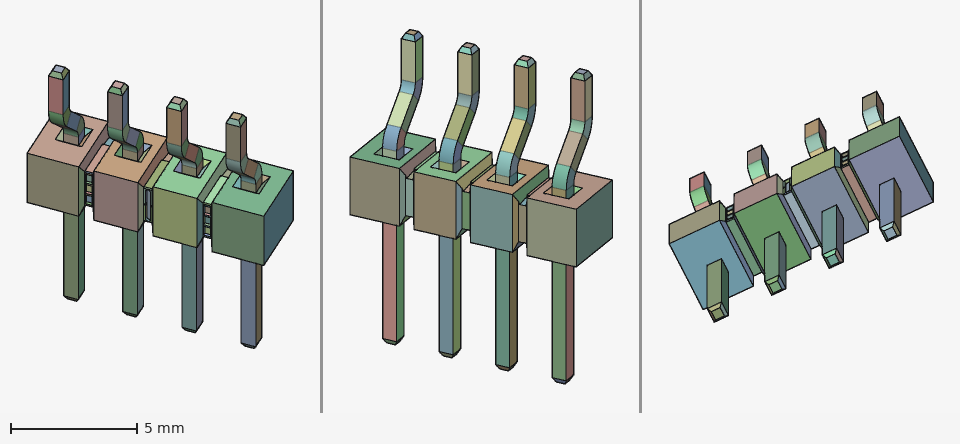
import cadquery as cq
import math

positions = 4
pitch = 2.54
overall_height = 12.95

housing_length = 10.17
housing_depth = 3.05
housing_height = 2.54
housing_back = 1.27

pin_width = 0.63
pin_below = 5.84
pin_overhang = 0.096
tip_length = 0.22
tip_inset = 0.123
bend_start = 0.21
bend_inner_radius = 0.62
bend_angle = math.radians(45)

funnel_width = 1.14

groove_width = 0.65
web_width = 0.36
web_end_inset = 0.39
web_side_inset = 0.26
web_edge_chamfer = 0.044
web_step_drop = 0.05
web_ramp_drop = 0.12

pocket_depth = 0.13
window_width = 0.28
window_height = 0.45
window_spacing = 0.53
window_count = 3
slot_width = 0.21
slot_height = 1.62
notch_height = 0.04

housing_front = housing_back - housing_depth
housing_middle_z = housing_height / 2
pin_back = pin_width / 2
pin_bottom = -pin_below
pin_top = pin_bottom + overall_height
funnel_floor = housing_height - (funnel_width - pin_width) / 2
web_top = housing_height - web_end_inset
web_front = housing_front + web_side_inset
web_back = housing_back - web_side_inset
pin_places = [(i - (positions - 1) / 2) * pitch for i in range(positions)]
groove_places = [(a + b) / 2 for a, b in zip(pin_places, pin_places[1:])]

pin_section = (pin_width, pin_width)
tip_section = (pin_width - 2 * tip_inset,) * 2


def frustum(x, y, z_low, low_section, z_high, high_section):
    """Rectangular frustum along Z; each section is its (X, Y) size."""
    return (
        cq.Workplane("XY", origin=(x, y, z_low))
        .rect(*low_section)
        .workplane(offset=z_high - z_low)
        .rect(*high_section)
        .loft(ruled=True)
    )


def mirror_to_bottom(cutter):
    """Copy of a cutter, mirrored about the middle height of the housing."""
    return cutter.mirror("XY", (0, 0, housing_middle_z))


def groove_outline(plane, origin, inset):
    """Trapezoid narrowing from the groove width to the web width, along +Y of its plane."""
    return (
        cq.Workplane(plane, origin=origin)
        .moveTo(-groove_width / 2, 0)
        .lineTo(groove_width / 2, 0)
        .lineTo(web_width / 2, inset)
        .lineTo(-web_width / 2, inset)
        .close()
    )


def cut_groove(body, x):
    """Groove all around the housing that leaves a web between two positions."""
    bottom = groove_outline("XZ", (x, housing_back, 0), web_end_inset).extrude(housing_depth)
    front = groove_outline("XY", (x, housing_front, 0), web_side_inset).extrude(housing_height)
    back = groove_outline("XY", (x, housing_back, 0), -web_side_inset).extrude(housing_height)
    return body.cut(bottom).cut(mirror_to_bottom(bottom)).cut(front).cut(back)


def lower_web_back(body, x):
    """Lower the web top behind the pins, sloping down to the back, between flanks in line with the groove."""
    profile = (
        cq.Workplane("YZ", origin=(x - web_width / 2, 0, 0))
        .moveTo(pin_back, web_top)
        .lineTo(web_back, web_top)
        .lineTo(web_back, web_top - web_ramp_drop)
        .lineTo(pin_back, web_top - web_step_drop)
        .close()
        .extrude(web_width)
    )
    flank_slope = (groove_width - web_width) / 2 / web_end_inset
    low_width = web_width - 2 * web_ramp_drop * flank_slope
    between_flanks = (
        cq.Workplane("XZ", origin=(x, web_back, 0))
        .moveTo(-web_width / 2, web_top)
        .lineTo(web_width / 2, web_top)
        .lineTo(low_width / 2, web_top - web_ramp_drop)
        .lineTo(-low_width / 2, web_top - web_ramp_drop)
        .close()
        .extrude(web_back - pin_back)
    )
    return body.cut(profile.intersect(between_flanks))


def chamfer_web(body, x):
    """Chamfer the top and bottom front edges of a web."""
    cutter = (
        cq.Workplane("YZ", origin=(x - web_width / 2, 0, 0))
        .moveTo(web_front, web_top)
        .lineTo(web_front + web_edge_chamfer, web_top)
        .lineTo(web_front, web_top - web_edge_chamfer)
        .close()
        .extrude(web_width)
    )
    return body.cut(cutter).cut(mirror_to_bottom(cutter))


def web_face(x):
    """Workplane on the front face of a web, centred in height."""
    return cq.Workplane("XZ", origin=(x, web_front, housing_middle_z))


def window_pockets(x):
    """Rectangular pockets, one above the other."""
    return (
        web_face(x)
        .rarray(0.13, window_spacing, 1, window_count)
        .rect(window_width, window_height)
        .extrude(-pocket_depth)
    )


def slot_pocket(x):
    """Tall round-ended pocket with a narrow notch across its middle."""
    slot = web_face(x).slot2D(slot_height, slot_width, 90).extrude(-pocket_depth)
    notch = web_face(x).rect(web_width, notch_height).extrude(-pocket_depth)
    return slot.union(notch)


def cut_pin_hole(body, x):
    """Square through hole that opens into a funnel at the top."""
    hole = cq.Workplane("XY", origin=(x, 0, 0)).rect(*pin_section).extrude(housing_height)
    funnel = frustum(x, 0, funnel_floor, pin_section, housing_height, (funnel_width, funnel_width))
    return body.cut(hole).cut(funnel)


def make_housing():
    body = cq.Workplane("XY", origin=(0, (housing_front + housing_back) / 2, 0))
    body = body.rect(housing_length, housing_depth).extrude(housing_height)
    for x in groove_places:
        body = cut_groove(body, x)
        body = lower_web_back(body, x)
        body = chamfer_web(body, x)
    left, middle, right = groove_places
    body = body.cut(window_pockets(left)).cut(slot_pocket(middle)).cut(window_pockets(right))
    for x in pin_places:
        body = cut_pin_hole(body, x)
    return body


def make_lower_pin(x):
    """Straight pin with a tapered tip, ending at the floor of the funnel."""
    shoulder = pin_bottom + tip_length
    shank = cq.Workplane("XY", origin=(x, 0, shoulder)).rect(*pin_section).extrude(funnel_floor - shoulder)
    return shank.union(frustum(x, 0, pin_bottom, tip_section, shoulder, pin_section))


def make_upper_pin(x):
    """Pin that stands on the lower pin, leans forward and turns upright again, with a tapered tip."""
    radius = bend_inner_radius + pin_width / 2
    leg_y = housing_front - pin_overhang + pin_width / 2
    shoulder = pin_top - tip_length

    half_forward = radius * (1 - math.cos(bend_angle / 2))
    half_up = radius * math.sin(bend_angle / 2)
    bend_forward = radius * (1 - math.cos(bend_angle))
    bend_up = radius * math.sin(bend_angle)

    lean_forward = -leg_y - 2 * bend_forward
    lean_up = lean_forward / math.tan(bend_angle)
    first_start = housing_height + bend_start
    first_end = first_start + bend_up
    second_start = first_end + lean_up
    second_end = second_start + bend_up

    path = (
        cq.Workplane("YZ", origin=(x, 0, 0))
        .moveTo(0, funnel_floor)
        .lineTo(0, first_start)
        .threePointArc((-half_forward, first_start + half_up), (-bend_forward, first_end))
        .lineTo(leg_y + bend_forward, second_start)
        .threePointArc((leg_y + half_forward, second_end - half_up), (leg_y, second_end))
        .lineTo(leg_y, shoulder)
    )
    leg = cq.Workplane("XY", origin=(x, 0, funnel_floor)).rect(*pin_section).sweep(path, clean=False)
    return leg.union(frustum(x, leg_y, shoulder, pin_section, pin_top, tip_section), clean=False)


housing = make_housing()
lower_pins = [make_lower_pin(x) for x in pin_places]
upper_pins = [make_upper_pin(x) for x in pin_places]

result = cq.Compound.makeCompound(
    [housing.val(), *[pin.val() for pin in lower_pins], *[pin.val() for pin in upper_pins]]
)